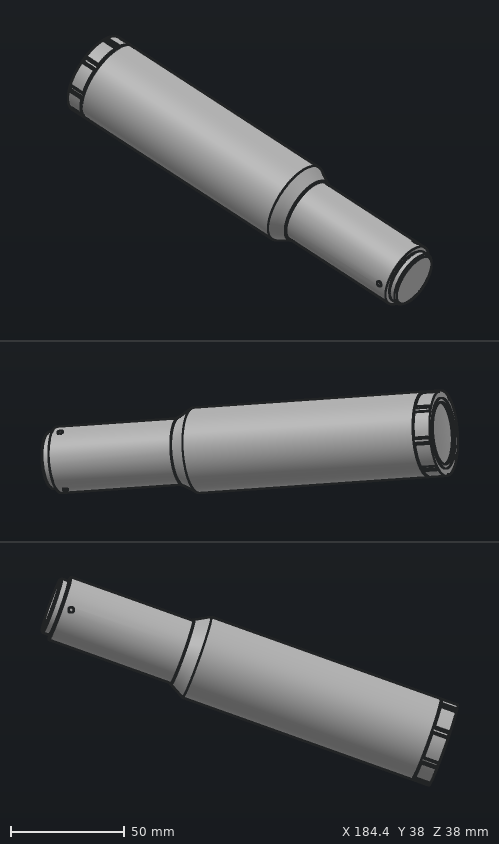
import cadquery as cq
import math

TOTAL_LENGTH = 184.4
CAP_LENGTH = 8.0
BODY_END = 115.8
TAPER_END = 122.5
LIP_END = 122.8
TUBE_END = 180.2
FLANGE_START = 180.7

BODY_RADIUS = 19.0
TAPER_END_RADIUS = 15.3
TUBE_RADIUS = 14.8
NECK_RADIUS = 12.2
FLANGE_RADIUS = 12.7
CAP_CHAMFER = 0.5
FLANGE_CHAMFER = 0.7

SEAT_RADIUS = 15.7
SEAT_DEPTH = 0.2
BORE_RADIUS = 13.8
BORE_DEPTH = 1.1
LENS_RISE = 0.7

FRONT_RIM = 0.4
GROOVE_COUNT = 8
FIRST_GROOVE_ANGLE = 20.0
GROOVE_TOP_WIDTH = 3.5
GROOVE_FLOOR_WIDTH = 1.7
GROOVE_DEPTH = 0.5

HOLE_COUNT = 3
FIRST_HOLE_ANGLE = 16.0
HOLE_X = 176.1
HOLE_DIAMETER = 2.4
HOLE_DEPTH = 1.8


def turned_shape():
    """Solid of revolution: cap, body, taper with its lip, tube, neck and flange."""
    return (
        cq.Workplane("XY")
        .moveTo(0, 0)
        .lineTo(0, BODY_RADIUS)
        .lineTo(CAP_LENGTH - CAP_CHAMFER, BODY_RADIUS)
        .lineTo(CAP_LENGTH, BODY_RADIUS - CAP_CHAMFER)
        .lineTo(CAP_LENGTH, BODY_RADIUS)
        .lineTo(BODY_END, BODY_RADIUS)
        .lineTo(TAPER_END, TAPER_END_RADIUS)
        .lineTo(LIP_END, TAPER_END_RADIUS)
        .lineTo(LIP_END, TUBE_RADIUS)
        .lineTo(TUBE_END, TUBE_RADIUS)
        .lineTo(TUBE_END, NECK_RADIUS)
        .lineTo(FLANGE_START, NECK_RADIUS)
        .lineTo(FLANGE_START, FLANGE_RADIUS)
        .lineTo(TOTAL_LENGTH - FLANGE_CHAMFER, FLANGE_RADIUS)
        .lineTo(TOTAL_LENGTH, FLANGE_RADIUS - FLANGE_CHAMFER)
        .lineTo(TOTAL_LENGTH, 0)
        .close()
        .revolve(360, (0, 0, 0), (1, 0, 0))
    )


def front_recess():
    """Cutter for the seat and bore that leaves a spherical lens face at the bottom."""
    lens_radius = (BORE_RADIUS**2 + LENS_RISE**2) / (2 * LENS_RISE)
    half_angle = math.asin(BORE_RADIUS / lens_radius) / 2
    lens_centre = BORE_DEPTH - LENS_RISE + lens_radius
    arc_middle = (
        lens_centre - lens_radius * math.cos(half_angle),
        lens_radius * math.sin(half_angle),
    )
    return (
        cq.Workplane("XY")
        .moveTo(0, 0)
        .lineTo(0, SEAT_RADIUS)
        .lineTo(SEAT_DEPTH, SEAT_RADIUS)
        .lineTo(SEAT_DEPTH, BORE_RADIUS)
        .lineTo(BORE_DEPTH, BORE_RADIUS)
        .threePointArc(arc_middle, (BORE_DEPTH - LENS_RISE, 0))
        .close()
        .revolve(360, (0, 0, 0), (1, 0, 0))
    )


def turn_about_axis(shape, angle):
    """Turn a shape about X, from the -Y side towards +Z for positive angles."""
    return shape.rotate((0, 0, 0), (1, 0, 0), -angle)


def grip_groove():
    """Cutter for one groove with sloping flanks on the -Y side of the cap."""
    floor = -(BODY_RADIUS - GROOVE_DEPTH)
    flank_slope = (GROOVE_TOP_WIDTH - GROOVE_FLOOR_WIDTH) / 2 / GROOVE_DEPTH
    cutter_height = 2 * GROOVE_DEPTH
    outer = floor - cutter_height
    outer_half_width = GROOVE_FLOOR_WIDTH / 2 + flank_slope * cutter_height
    return (
        cq.Workplane("YZ", origin=(FRONT_RIM, 0, 0))
        .polyline(
            [
                (floor, -GROOVE_FLOOR_WIDTH / 2),
                (floor, GROOVE_FLOOR_WIDTH / 2),
                (outer, outer_half_width),
                (outer, -outer_half_width),
            ]
        )
        .close()
        .extrude(CAP_LENGTH - FRONT_RIM)
    )


def screw_hole():
    """Cutter for one radial blind hole on the -Y side of the tube."""
    return (
        cq.Workplane("XZ", origin=(HOLE_X, -(TUBE_RADIUS - HOLE_DEPTH), 0))
        .circle(HOLE_DIAMETER / 2)
        .extrude(2 * HOLE_DEPTH)
    )


result = turned_shape().cut(front_recess())
for i in range(GROOVE_COUNT):
    groove_angle = FIRST_GROOVE_ANGLE + i * 360 / GROOVE_COUNT
    result = result.cut(turn_about_axis(grip_groove(), groove_angle))
for i in range(HOLE_COUNT):
    hole_angle = FIRST_HOLE_ANGLE + i * 360 / HOLE_COUNT
    result = result.cut(turn_about_axis(screw_hole(), hole_angle))